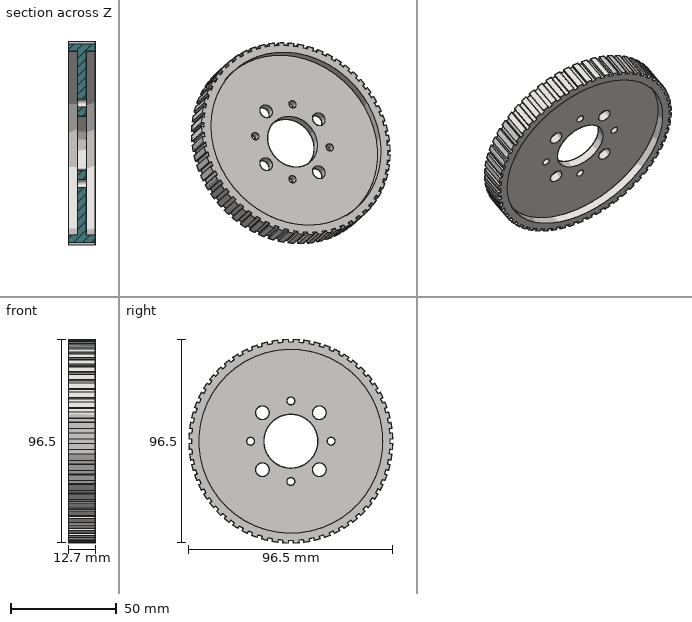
import cadquery as cq
import math

tooth_count = 60
belt_pitch = 5.08
pitch_line_offset = 0.254
outer_radius = tooth_count * belt_pitch / (2 * math.pi) - pitch_line_offset
rim_width = 12.7
groove_width = 2.1
groove_depth = 1.27

recess_diameter = 87.0
web_thickness = 4.28
recess_depth = (rim_width - web_thickness) / 2

bore_diameter = 25.4
bolt_circle_diameter = 38.1
holes_per_set = 4
large_hole_diameter = 6.35
small_hole_diameter = 3.6
large_hole_start_angle = 45
small_hole_start_angle = 0


def make_blank():
    """Plain disc from X = 0 to X = rim_width."""
    return cq.Workplane("YZ").circle(outer_radius).extrude(rim_width)


def make_grooves():
    """Straight-sided belt grooves, one centred on each quadrant axis."""
    cutter_height = 2 * groove_depth
    return (
        cq.Workplane("YZ")
        .polarArray(outer_radius, 0, 360, tooth_count)
        .rect(cutter_height, groove_width)
        .extrude(rim_width)
    )


def make_recess(start_x):
    """Round recess cutter beginning at the given X position."""
    return (
        cq.Workplane("YZ", origin=(start_x, 0, 0))
        .circle(recess_diameter / 2)
        .extrude(recess_depth)
    )


def make_hole_set(diameter, start_angle):
    """Cutters for one set of evenly spaced holes on the bolt circle."""
    return (
        cq.Workplane("YZ")
        .polarArray(bolt_circle_diameter / 2, start_angle, 360, holes_per_set)
        .circle(diameter / 2)
        .extrude(rim_width)
    )


def make_bore():
    """Cutter for the central bore."""
    return cq.Workplane("YZ").circle(bore_diameter / 2).extrude(rim_width)


pulley = make_blank().cut(make_grooves())
for recess_start in (0, rim_width - recess_depth):
    pulley = pulley.cut(make_recess(recess_start))
pulley = pulley.cut(make_bore())
pulley = pulley.cut(make_hole_set(large_hole_diameter, large_hole_start_angle))
pulley = pulley.cut(make_hole_set(small_hole_diameter, small_hole_start_angle))

result = pulley.translate((-rim_width / 2, 0, 0))